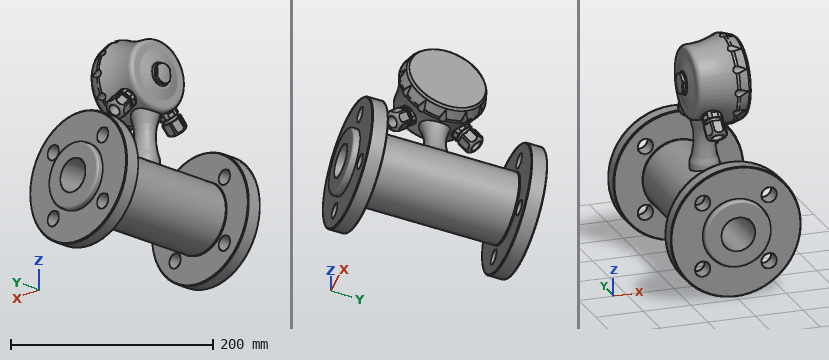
import cadquery as cq
import math

pipe_length = 200.0
pipe_diameter = 76.0
bore_diameter = 35.5

flange_diameter = 137.0
flange_thickness = 17.1
flange_chamfer = 1.0
raised_face_diameter = 70.0
raised_face_height = 7.0
raised_face_rounding = 2.7
hub_diameter = 76.5
hub_width = 1.5
bolt_hole_diameter = 16.0
bolt_spacing = 69.7

neck_bottom = 33.3
neck_top = 103.0
neck_base_diameter = 30.0
neck_waist_diameter = 22.0
neck_shoulder_diameter = 25.8
neck_collar_top = 42.0
neck_collar_taper_top = 44.2
neck_collar_taper_diameter = 29.0
neck_shoulder_z = 49.0
neck_waist_bottom = 65.9
neck_waist_top = 69.7
neck_curve_directions = [(-0.3, 1), (0, 1)]
neck_flare_start = 77.0
neck_flare_start_diameter = 23.5
neck_flare_mid = 83.7
neck_flare_mid_diameter = 27.0
neck_flare_top = 91.7
neck_flare_top_diameter = 31.8

head_z = 127.1
head_back_x = -19.3
head_back_rounding = 4.8
head_back_diameter = 76.0
cone_base_diameter = 52.0
cone_top_diameter = 30.6
cone_top_x = -22.2
lid_back_x = 15.0
lid_back_diameter = 88.0
head_waist_x = 1.2
head_waist_diameter = 79.4
rim_start_x = 18.8
rim_end_x = 21.7
rim_diameter = 91.5
lid_edge_x = 31.8
lid_edge_diameter = 85.0
lid_front_x = 34.5
lid_front_diameter = 81.0

notch_count = 12
notch_tip_x = 30.6
notch_tip_radius = 42.7
notch_axis_tilt = 34
notch_half_angle = 26
notch_cone_length = 21.7

plug_diameter = 21.0
plug_collar_diameter = 24.4
plug_collar_x = -23.5
plug_face_x = -26.5
plug_tip_x = -28.0
plug_flat_spacing = 17.9
plug_flat_end_x = -25.3

gland_x = -2.05
gland_angle = 45
gland_root = 29.0
body_start = 39.3
body_end = 44.6
body_across_flats = 19.8
body_diameter = 20.7
sleeve_diameter = 16.6
nut_start = 48.5
nut_end = 63.0
nut_across_flats = 20.0
nut_diameter = 22.0
nut_rounding = 4.3
cable_hole_diameter = 12.0
cable_hole_depth = nut_end - nut_start


def cylinder_y(diameter, start, end):
    """Cylinder about the Y axis between two Y positions."""
    return cq.Workplane("XZ", origin=(0, start, 0)).circle(diameter / 2).extrude(start - end)


def make_flange():
    """Flange at the -Y end, with raised face, low hub and bolt holes."""
    outer_face = -pipe_length / 2 + raised_face_height
    inner_face = outer_face + flange_thickness
    disc = cylinder_y(flange_diameter, outer_face, inner_face).edges().chamfer(flange_chamfer)
    holes = (
        cq.Workplane("XZ", origin=(0, outer_face, 0))
        .rect(bolt_spacing, bolt_spacing, forConstruction=True)
        .vertices()
        .circle(bolt_hole_diameter / 2)
        .extrude(-flange_thickness)
    )
    raised_face = cylinder_y(raised_face_diameter, -pipe_length / 2, outer_face + flange_chamfer)
    raised_face = raised_face.faces("<Y").edges().fillet(raised_face_rounding)
    hub = cylinder_y(hub_diameter, inner_face - flange_chamfer, inner_face + hub_width)
    return disc.cut(holes).union(raised_face).union(hub)


def make_neck():
    """Waisted neck from inside the pipe wall up into the head."""
    base, waist = neck_base_diameter / 2, neck_waist_diameter / 2
    shoulder, top = neck_shoulder_diameter / 2, neck_flare_top_diameter / 2
    return (
        cq.Workplane("XZ")
        .moveTo(0, neck_bottom)
        .lineTo(base, neck_bottom)
        .lineTo(base, neck_collar_top)
        .lineTo(neck_collar_taper_diameter / 2, neck_collar_taper_top)
        .lineTo(shoulder, neck_shoulder_z)
        .spline([(waist, neck_waist_bottom)], tangents=neck_curve_directions, includeCurrent=True)
        .lineTo(waist, neck_waist_top)
        .lineTo(neck_flare_start_diameter / 2, neck_flare_start)
        .threePointArc((neck_flare_mid_diameter / 2, neck_flare_mid), (top, neck_flare_top))
        .lineTo(top, neck_top)
        .lineTo(0, neck_top)
        .close()
        .revolve(360, (0, 0, 0), (0, 1, 0))
    )


def turn_about_x(outline):
    """Close an outline of (x, radius) and turn it about the X axis of its workplane."""
    return outline.close().revolve(360, (0, 0, 0), (1, 0, 0))


def make_head():
    """Flared housing with its screw lid."""
    back_radius = head_back_diameter / 2
    outline = (
        cq.Workplane("XZ", origin=(0, 0, head_z))
        .moveTo(cone_top_x, 0)
        .lineTo(cone_top_x, cone_top_diameter / 2)
        .lineTo(head_back_x, cone_base_diameter / 2)
        .lineTo(head_back_x, back_radius - head_back_rounding)
        .radiusArc((head_back_x + head_back_rounding, back_radius), head_back_rounding)
        .threePointArc((head_waist_x, head_waist_diameter / 2), (lid_back_x, lid_back_diameter / 2))
        .lineTo(rim_start_x, rim_diameter / 2)
        .lineTo(rim_end_x, rim_diameter / 2)
        .lineTo(lid_edge_x, lid_edge_diameter / 2)
        .lineTo(lid_front_x, lid_front_diameter / 2)
        .lineTo(lid_front_x, 0)
    )
    return turn_about_x(outline)


def cut_notches(head):
    """Cut teardrop notches into the lid rim, pointed towards the lid front."""
    tilt = math.radians(notch_axis_tilt)
    cone = cq.Solid.makeCone(
        0,
        notch_cone_length * math.tan(math.radians(notch_half_angle)),
        notch_cone_length,
        pnt=cq.Vector(notch_tip_x, 0, head_z + notch_tip_radius),
        dir=cq.Vector(-math.cos(tilt), 0, math.sin(tilt)),
    )
    for index in range(notch_count):
        angle = index * 360 / notch_count
        notch = cone.rotate(cq.Vector(0, 0, head_z), cq.Vector(2.5, 0, head_z), angle)
        head = head.cut(cq.Workplane(notch))
    return head


def make_plug():
    """Domed plug with two wrench flats."""
    outline = (
        cq.Workplane("XZ", origin=(0, 0, head_z))
        .moveTo(plug_tip_x, 0)
        .lineTo(plug_face_x, plug_diameter / 2)
        .lineTo(plug_collar_x, plug_diameter / 2)
        .lineTo(cone_top_x, plug_collar_diameter / 2)
        .lineTo(head_back_x, plug_collar_diameter / 2)
        .lineTo(head_back_x, 0)
    )
    plug = turn_about_x(outline)
    flat_length = plug_flat_end_x - plug_tip_x
    outside_flats = (
        cq.Workplane("YZ", origin=(plug_tip_x, 0, head_z))
        .rect(2 * plug_diameter, 2 * plug_diameter)
        .rect(plug_flat_spacing, 2 * plug_diameter)
        .extrude(flat_length)
    )
    return plug.cut(outside_flats)


def hexagon(across_flats, start, end):
    """Hexagonal bar along Z with two corners on the X axis."""
    across_corners = across_flats / math.cos(math.pi / 6)
    return cq.Workplane("XY", origin=(0, 0, start)).polygon(6, across_corners).extrude(end - start)


def round_bar(diameter, start, end):
    """Round bar along Z."""
    return cq.Workplane("XY", origin=(0, 0, start)).circle(diameter / 2).extrude(end - start)


def make_gland(side):
    """Cable gland built along Z, then tilted to its side (+1 or -1 along Y)."""
    root = round_bar(body_diameter, gland_root, body_start)
    body = hexagon(body_across_flats, body_start, body_end)
    body = body.intersect(round_bar(body_diameter, body_start, body_end))
    sleeve = round_bar(sleeve_diameter, body_end, nut_start)
    rounded_bar = round_bar(nut_diameter, nut_start, nut_end).faces(">Z").edges().fillet(nut_rounding)
    nut = hexagon(nut_across_flats, nut_start, nut_end).intersect(rounded_bar)
    cable_hole = round_bar(cable_hole_diameter, nut_end - cable_hole_depth, nut_end)
    gland = root.union(body).union(sleeve).union(nut).cut(cable_hole)
    tilt = side * (180 - gland_angle)
    return gland.rotate((0, 0, 0), (-1, 0, 0), tilt).translate((gland_x, 0, head_z))


flange = make_flange()
head = cut_notches(make_head())

pipe_end = pipe_length / 2 - raised_face_height

result = cylinder_y(pipe_diameter, -pipe_end, pipe_end)
result = result.union(flange).union(flange.mirror("XZ"))
result = result.union(make_neck()).union(head).union(make_plug())
for side in (-1, 1):
    result = result.union(make_gland(side))
result = result.cut(cylinder_y(bore_diameter, -pipe_length / 2, pipe_length / 2))